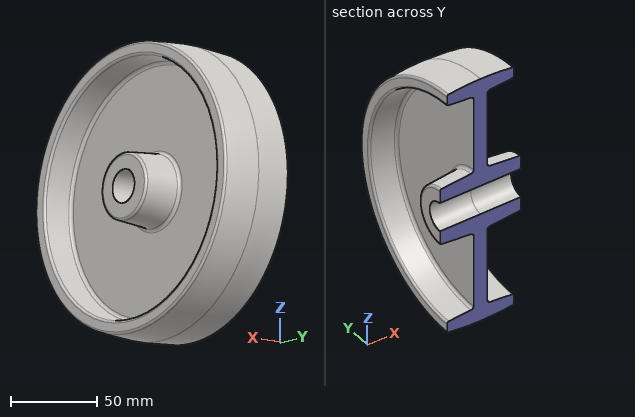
import cadquery as cq
import math

wheel_radius = 87.5
rim_width = 48.0
crown_radius = 175.0
hub_length = 58.0
hub_tip_radius = 20.0
rim_mouth_radius = 78.0
web_thickness = 10.0
bore_radius = 10.0
draft_angle = 5.0
edge_fillet = 1.5
root_fillet = 2.0


def tread_radius(x):
    """Wheel radius of the crowned tread at axial position x."""
    return wheel_radius - crown_radius + math.sqrt(crown_radius**2 - x**2)


rim_half = rim_width / 2
hub_half = hub_length / 2
web_half = web_thickness / 2
draft_slope = math.tan(math.radians(draft_angle))
hub_root_radius = hub_tip_radius + (hub_half - web_half) * draft_slope
rim_root_radius = rim_mouth_radius - (rim_half - web_half) * draft_slope
crown_mid_x = rim_half / 2
crown_mid_radius = tread_radius(crown_mid_x)
tread_edge_radius = tread_radius(rim_half)


def revolved_body():
    """Hub, web and crowned rim as one sharp-edged solid without the bore."""
    profile = (
        cq.Workplane("XZ")
        .moveTo(-hub_half, 0)
        .lineTo(-hub_half, hub_tip_radius)
        .lineTo(-web_half, hub_root_radius)
        .lineTo(-web_half, rim_root_radius)
        .lineTo(-rim_half, rim_mouth_radius)
        .lineTo(-rim_half, tread_edge_radius)
        .threePointArc((-crown_mid_x, crown_mid_radius), (0, wheel_radius))
        .threePointArc((crown_mid_x, crown_mid_radius), (rim_half, tread_edge_radius))
        .lineTo(rim_half, rim_mouth_radius)
        .lineTo(web_half, rim_root_radius)
        .lineTo(web_half, hub_root_radius)
        .lineTo(hub_half, hub_tip_radius)
        .lineTo(hub_half, 0)
        .close()
    )
    return profile.revolve(360, (0, 0, 0), (1, 0, 0))


def round_circles(body, axial_distance, radius, fillet_radius):
    """Fillet the circular edges of the given radius at both +/- axial_distance."""
    tolerance = 0.001
    edges = [
        edge
        for edge in body.edges("%CIRCLE").vals()
        if abs(abs(edge.Center().x) - axial_distance) < tolerance
        and abs(edge.radius() - radius) < tolerance
    ]
    return body.newObject(edges).fillet(fillet_radius)


def bore():
    """Axle hole through the full hub length."""
    return cq.Workplane("YZ").circle(bore_radius).extrude(hub_half, both=True)


wheel = revolved_body()
wheel = round_circles(wheel, hub_half, hub_tip_radius, edge_fillet)
wheel = round_circles(wheel, web_half, hub_root_radius, root_fillet)
wheel = round_circles(wheel, web_half, rim_root_radius, root_fillet)
wheel = round_circles(wheel, rim_half, rim_mouth_radius, edge_fillet)
wheel = round_circles(wheel, rim_half, tread_edge_radius, edge_fillet)

result = wheel.cut(bore())